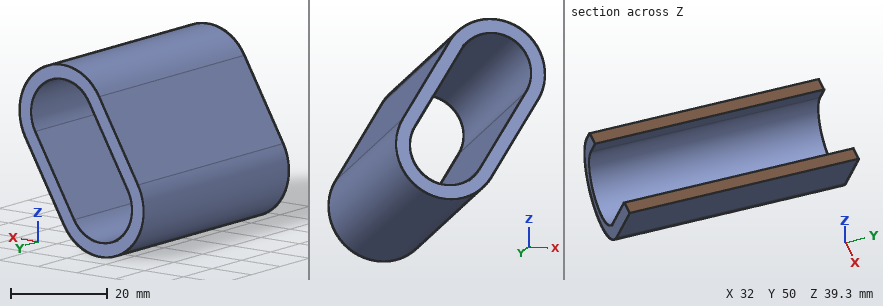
import cadquery as cq

center_distance = 20.0
outer_radius = 11.0
wall = 3.0
sleeve_length = 50.0
tilt = 60.0

inner_radius = outer_radius - wall


def slot_bar(radius):
    """Solid bar of tilted slot section, running along Y and centred on the origin."""
    overall_length = center_distance + 2 * radius
    return (
        cq.Workplane("XZ")
        .slot2D(overall_length, 2 * radius, tilt)
        .extrude(sleeve_length / 2, both=True)
    )


result = slot_bar(outer_radius).cut(slot_bar(inner_radius))